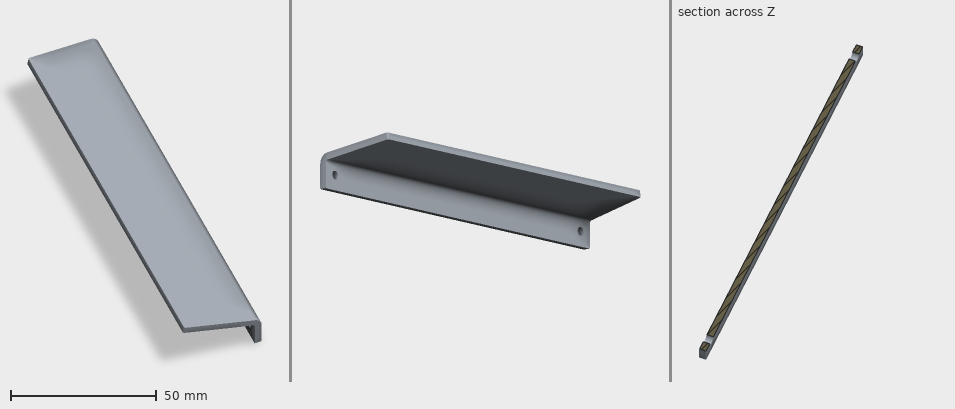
import cadquery as cq
import math

length = 140.0
depth = 28.1
height = 16.8
thickness = 2.5
inner_radius = 1.0
arm_slope = 10.0
end_taper = 3.0
arm_corner_radius = 0.5
leg_corner_radius = 0.4
hole_diameter = 3.1
hole_end_distance = 5.0
hole_height = 5.3

slope = math.radians(arm_slope)
outer_radius = inner_radius + thickness
bend_angle = 90 - arm_slope
arm_length = (depth - outer_radius + inner_radius * math.sin(slope)) / math.cos(slope)
leg_height = height - outer_radius * math.cos(slope) - arm_length * math.sin(slope)


def make_leg():
    """Upright plate with its back face on Y = 0 and two screw holes."""
    leg = cq.Workplane("XY").box(length, thickness, leg_height, centered=(True, False, False))
    leg = leg.translate((0, -thickness, 0))
    leg = leg.faces("<Z").edges("|Y").fillet(leg_corner_radius)
    hole_x = length / 2 - hole_end_distance
    holes = (
        cq.Workplane("XZ")
        .pushPoints([(-hole_x, hole_height), (hole_x, hole_height)])
        .circle(hole_diameter / 2)
        .extrude(thickness)
    )
    return leg.cut(holes)


def bend_point(radius, angle):
    """Point (Y, Z) on the bend, with the angle in degrees from the top of the leg."""
    turn = math.radians(angle)
    return (
        -outer_radius + radius * math.cos(turn),
        leg_height + radius * math.sin(turn),
    )


def make_bend():
    """Concentric bend joining the leg to the sloping arm."""
    return (
        cq.Workplane("YZ")
        .moveTo(*bend_point(outer_radius, 0))
        .threePointArc(bend_point(outer_radius, bend_angle / 2), bend_point(outer_radius, bend_angle))
        .lineTo(*bend_point(inner_radius, bend_angle))
        .threePointArc(bend_point(inner_radius, bend_angle / 2), bend_point(inner_radius, 0))
        .close()
        .extrude(length / 2, both=True)
    )


def make_arm():
    """Tapered plate with rounded free corners, sloping up from the bend."""
    start_y, start_z = bend_point(inner_radius, bend_angle)
    arm_plane = cq.Plane(
        origin=(0, start_y, start_z),
        xDir=(1, 0, 0),
        normal=(0, math.sin(slope), math.cos(slope)),
    )
    free_half = length / 2 - end_taper
    outline = [
        (-length / 2, 0),
        (length / 2, 0),
        (free_half, -arm_length),
        (-free_half, -arm_length),
    ]
    arm = cq.Workplane(arm_plane).polyline(outline).close().extrude(thickness)
    return arm.faces("<Y").edges("not(|X)").fillet(arm_corner_radius)


result = make_leg().union(make_bend()).union(make_arm())
result = result.translate((0, depth / 2, -height / 2))